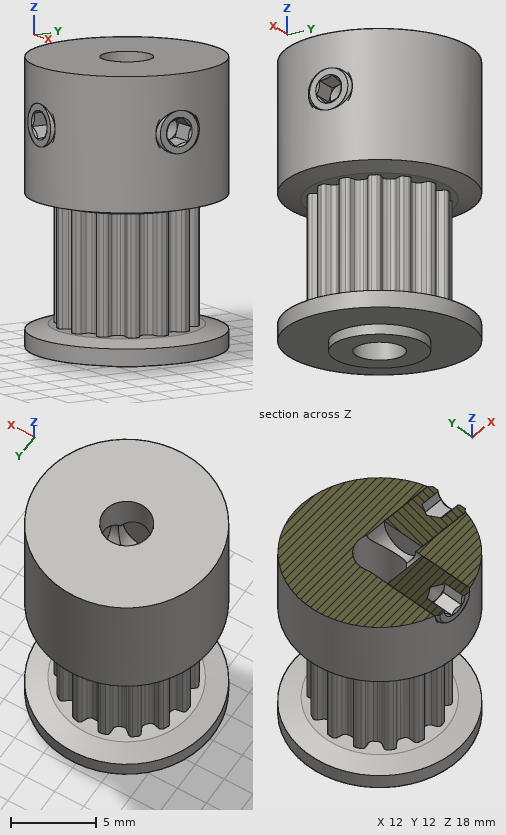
import cadquery as cq
import math

TOTAL_HEIGHT = 18
BOSS_HEIGHT = 0.63
FLANGE_RIM_TOP = 1.67
FLANGE_TOP = 2.0
COLLAR_BOTTOM = 9.49
COLLAR_RIM_BOTTOM = 9.83

RIM_RADIUS = 12.0 / 2
BORE_RADIUS = 1.58
BOSS_RADIUS = 3.0
SHOULDER_RADIUS = 4.63

TOOTH_COUNT = 14
TOOTH_TIP_RADIUS = 4.28
GROOVE_DEPTH = 0.72
GROOVE_FLOOR_WIDTH = 0.65
GROOVE_WALL_ANGLE = 23.6
GROOVE_ROOT_FILLET = 0.32
TOOTH_TIP_FILLET = 0.23
EDGE_TOLERANCE = 0.09
CUTTER_OVERRUN = 0.18

SCREW_HEIGHT = 14.5
SCREW_RADIUS = 1.5
SCREW_LENGTH = 4.0
SCREW_CHAMFER = 0.2
SCREW_DIRECTIONS = (0, -90)
SOCKET_WIDTH = 1.51
SOCKET_DEPTH = 1.5
SOCKET_TURN = -15
SOCKET_RIM_RADIUS = 0.88
SOCKET_POINT_ANGLE = 120


def revolve_profile(points):
    """Solid of revolution about Z from (radius, height) points."""
    return cq.Workplane("XZ").polyline(points).close().revolve(360, (0, 0), (0, 1))


def make_flange():
    """Lower boss and the bevelled flange above it."""
    return revolve_profile([
        (0, 0),
        (BOSS_RADIUS, 0),
        (BOSS_RADIUS, BOSS_HEIGHT),
        (RIM_RADIUS, BOSS_HEIGHT),
        (RIM_RADIUS, FLANGE_RIM_TOP),
        (SHOULDER_RADIUS, FLANGE_TOP),
        (0, FLANGE_TOP),
    ])


def make_collar():
    """Upper collar, bevelled towards the teeth."""
    return revolve_profile([
        (0, COLLAR_BOTTOM),
        (SHOULDER_RADIUS, COLLAR_BOTTOM),
        (RIM_RADIUS, COLLAR_RIM_BOTTOM),
        (RIM_RADIUS, TOTAL_HEIGHT),
        (0, TOTAL_HEIGHT),
    ])


def make_toothed_core():
    """Cylinder with straight belt grooves, rounded at their roots and at the tooth tips."""
    length = COLLAR_BOTTOM - FLANGE_TOP
    floor_radius = TOOTH_TIP_RADIUS - GROOVE_DEPTH
    cut_radius = TOOTH_TIP_RADIUS + CUTTER_OVERRUN
    half_floor = GROOVE_FLOOR_WIDTH / 2
    half_mouth = half_floor + (cut_radius - floor_radius) * math.tan(math.radians(GROOVE_WALL_ANGLE))
    cutter = (
        cq.Workplane("XY", origin=(0, 0, FLANGE_TOP))
        .polyline([
            (floor_radius, -half_floor),
            (cut_radius, -half_mouth),
            (cut_radius, half_mouth),
            (floor_radius, half_floor),
        ])
        .close()
        .extrude(length)
    )
    core = cq.Workplane("XY", origin=(0, 0, FLANGE_TOP)).circle(TOOTH_TIP_RADIUS).extrude(length)
    pitch_angle = 360 / TOOTH_COUNT
    for index in range(TOOTH_COUNT):
        core = core.cut(cutter.rotate((0, 0, 0), (0, 0, 1), (index + 0.5) * pitch_angle))

    mid_radius = TOOTH_TIP_RADIUS - GROOVE_DEPTH / 2

    def distance_from_axis(edge):
        return math.hypot(edge.Center().x, edge.Center().y)

    tips = core.edges("|Z").filter(lambda edge: distance_from_axis(edge) > mid_radius)
    core = tips.fillet(TOOTH_TIP_FILLET)
    roots = core.edges("|Z").filter(lambda edge: distance_from_axis(edge) < floor_radius + EDGE_TOLERANCE)
    return roots.fillet(GROOVE_ROOT_FILLET)


def place_screw_shape(shape, direction):
    """Turn a shape built along +X to the given direction and lift it to the screw height."""
    return shape.rotate((0, 0, 0), (0, 0, 1), direction).translate((0, 0, SCREW_HEIGHT))


def make_screw_blank():
    """Plain screw along +X, its chamfered head flush with the collar's radius."""
    return (
        cq.Workplane("YZ", origin=(RIM_RADIUS - SCREW_LENGTH, 0, 0))
        .circle(SCREW_RADIUS)
        .extrude(SCREW_LENGTH)
        .faces(">X")
        .chamfer(SCREW_CHAMFER)
    )


def make_socket():
    """Hexagon socket cutter with a countersunk mouth and a conical bottom."""
    bottom = RIM_RADIUS - SOCKET_DEPTH
    flat_radius = SOCKET_WIDTH / 2
    hexagon = (
        cq.Workplane("YZ", origin=(bottom, 0, 0))
        .polygon(6, SOCKET_WIDTH, circumscribed=True)
        .extrude(SOCKET_DEPTH)
        .rotate((0, 0, 0), (1, 0, 0), SOCKET_TURN)
    )
    point_depth = flat_radius / math.tan(math.radians(SOCKET_POINT_ANGLE / 2))
    point = cq.Solid.makeCone(flat_radius, 0, point_depth, cq.Vector(bottom, 0, 0), cq.Vector(-1, 0, 0))
    countersink_depth = SOCKET_RIM_RADIUS - flat_radius
    countersink = cq.Solid.makeCone(
        SOCKET_RIM_RADIUS, flat_radius, countersink_depth, cq.Vector(RIM_RADIUS, 0, 0), cq.Vector(-1, 0, 0)
    )
    return hexagon.union(cq.Workplane(point)).union(cq.Workplane(countersink))


def make_set_screw(direction):
    return place_screw_shape(make_screw_blank().cut(make_socket()), direction)


def make_pulley():
    """Flange, teeth and collar in one piece, with the bore and the two screw holes."""
    pulley = make_flange().union(make_toothed_core()).union(make_collar())
    pulley = pulley.cut(cq.Workplane("XY").circle(BORE_RADIUS).extrude(TOTAL_HEIGHT))
    hole_to_bore = cq.Workplane("YZ").circle(SCREW_RADIUS).extrude(RIM_RADIUS - SCREW_LENGTH)
    screw_hole = make_screw_blank().union(hole_to_bore)
    for direction in SCREW_DIRECTIONS:
        pulley = pulley.cut(place_screw_shape(screw_hole, direction))
    return pulley


pulley = make_pulley()
set_screws = [make_set_screw(direction) for direction in SCREW_DIRECTIONS]

result = cq.Compound.makeCompound([pulley.val(), *[screw.val() for screw in set_screws]])